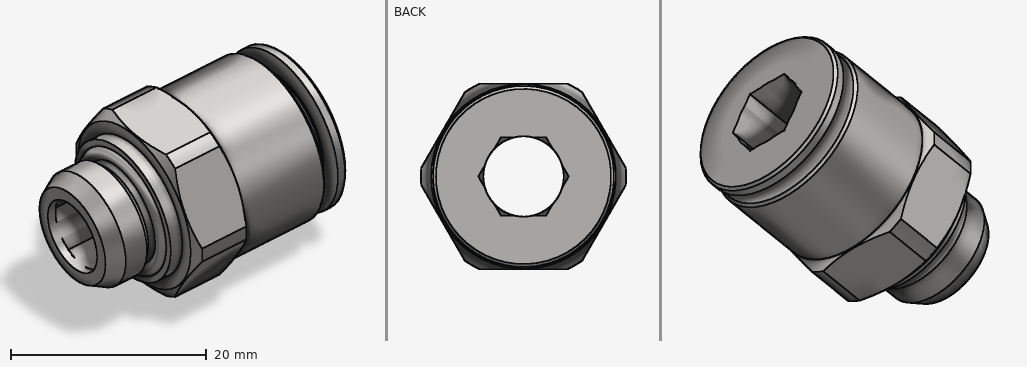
import cadquery as cq
import math

overall_length = 28.4

bore_diameter = 8.2
stud_diameter = 13.0
stud_tip_diameter = 11.0
stud_lead_length = 1.85
stud_neck_diameter = 11.6
stud_shoulder_y = 4.6
stud_neck_y = stud_shoulder_y + (stud_diameter - stud_neck_diameter) / 2
flange_diameter = 16.0
flange_y = 6.5

seal_outer_diameter = 14.5
seal_section_radius = 0.75
seal_centre_radius = seal_outer_diameter / 2 - seal_section_radius
seal_centre_y = 6.6

hex_across_flats = 19.0
hex_corner_diameter = 21.0
hex_face_diameter = 18.8
hex_start_y = 8.0
hex_end_y = 15.0
hex_chamfer_angle = 30.0
hex_chamfer_depth = (hex_corner_diameter - hex_face_diameter) / 2
hex_chamfer_length = hex_chamfer_depth * math.tan(math.radians(hex_chamfer_angle))

barrel_diameter = 18.9
barrel_chamfer = 0.3
barrel_end_y = 25.5
dome_base_diameter = 17.0
dome_height = 0.25

sleeve_diameter = 13.6
sleeve_head_diameter = 18.5
sleeve_head_length = 1.22
sleeve_head_chamfer = 0.3
sleeve_root_chamfer = 0.12

socket_across_flats = 8.0
socket_start_y = 1.0


def revolve_profile(points):
    """Revolve a closed outline of (radius, y) points about the Y axis."""
    return cq.Workplane("XY").polyline(points).close().revolve(360, (0, 0, 0), (0, 1, 0))


def hex_prism(across_flats, start_y, end_y):
    """Hexagonal prism along Y with two flats facing up and down."""
    across_corners = across_flats / math.cos(math.pi / 6)
    prism = cq.Workplane("XZ", origin=(0, start_y, 0)).polygon(6, across_corners)
    return prism.extrude(start_y - end_y)


def make_stud():
    return revolve_profile([
        (0, 0),
        (stud_tip_diameter / 2, 0),
        (stud_diameter / 2, stud_lead_length),
        (stud_diameter / 2, stud_shoulder_y),
        (stud_neck_diameter / 2, stud_neck_y),
        (stud_neck_diameter / 2, flange_y),
        (flange_diameter / 2, flange_y),
        (flange_diameter / 2, hex_start_y),
        (0, hex_start_y),
    ])


def make_seal():
    section = cq.Workplane("XY").center(seal_centre_radius, seal_centre_y).circle(seal_section_radius)
    return section.revolve(360, (-seal_centre_radius, 0, 0), (-seal_centre_radius, 1, 0))


def make_hex_collar():
    turned_limit = revolve_profile([
        (0, hex_start_y),
        (hex_face_diameter / 2, hex_start_y),
        (hex_corner_diameter / 2, hex_start_y + hex_chamfer_length),
        (hex_corner_diameter / 2, hex_end_y - hex_chamfer_length),
        (hex_face_diameter / 2, hex_end_y),
        (0, hex_end_y),
    ])
    return hex_prism(hex_across_flats, hex_start_y, hex_end_y).intersect(turned_limit)


def make_barrel():
    return revolve_profile([
        (0, hex_end_y),
        (barrel_diameter / 2, hex_end_y),
        (barrel_diameter / 2, barrel_end_y - barrel_chamfer),
        (barrel_diameter / 2 - barrel_chamfer, barrel_end_y),
        (dome_base_diameter / 2, barrel_end_y),
        (sleeve_diameter / 2, barrel_end_y + dome_height),
        (0, barrel_end_y + dome_height),
    ])


def make_sleeve():
    head_y = overall_length - sleeve_head_length
    return revolve_profile([
        (0, barrel_end_y),
        (sleeve_diameter / 2, barrel_end_y),
        (sleeve_diameter / 2, head_y - sleeve_root_chamfer),
        (sleeve_diameter / 2 + sleeve_root_chamfer, head_y),
        (sleeve_head_diameter / 2, head_y),
        (sleeve_head_diameter / 2, overall_length - sleeve_head_chamfer),
        (sleeve_head_diameter / 2 - sleeve_head_chamfer, overall_length),
        (0, overall_length),
    ])


def make_bore():
    return cq.Workplane("XZ").circle(bore_diameter / 2).extrude(-overall_length)


def make_key_socket():
    """Hexagon whose corners leave six V grooves in the bore wall behind the mouth."""
    return hex_prism(socket_across_flats, socket_start_y, overall_length)


outside = make_stud()
for body in (make_seal(), make_hex_collar(), make_barrel(), make_sleeve()):
    outside = outside.union(body)
result = outside.cut(make_bore()).cut(make_key_socket())